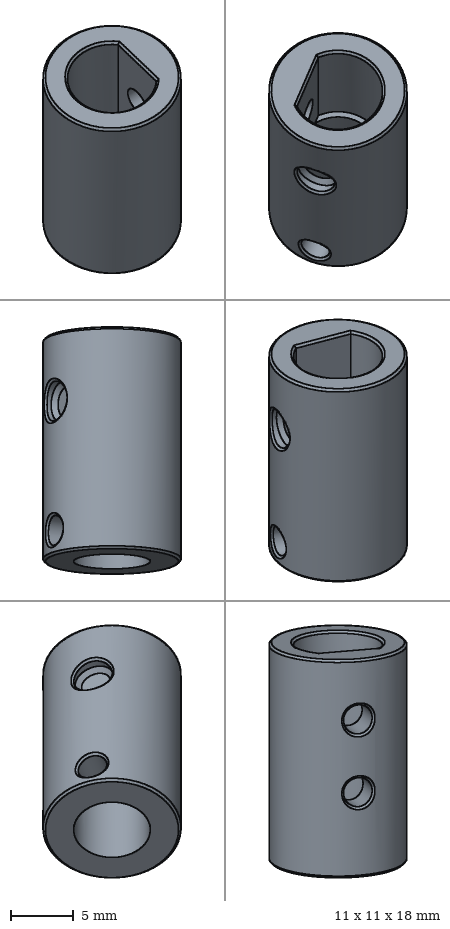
import cadquery as cq

length = 18
outer_diameter = 11.0
edge_chamfer = 0.2
outer_radius = outer_diameter / 2

bore_diameter = 6.1
d_bore_diameter = 7.1
d_flat_offset = 2.57
d_bore_depth = length / 2

screw_diameter = 2.4
side_screw_height = 2.0
flat_screw_heights = (7.0, 13.0)

socket_height = 12.5
socket_diameter = 3.2
socket_floor_diameter = screw_diameter
socket_depth = 1.22
socket_cone_depth = (socket_diameter - socket_floor_diameter) / 2

rim_margin = 0.36
flare_share = 0.999


def d_profile(height, radius, flat_offset):
    """Cylinder on the XY plane with its +Y side cut to a flat."""
    size = 2 * radius
    keep = cq.Workplane("XY").box(size, radius + flat_offset, height, centered=(True, False, False))
    return cq.Workplane("XY").circle(radius).extrude(height).intersect(keep.translate((0, -radius, 0)))


def d_bore():
    """D-shaped cutter with a flared mouth at the top face."""
    straight = d_profile(d_bore_depth, d_bore_diameter / 2, d_flat_offset)
    flare = (
        d_profile(edge_chamfer, d_bore_diameter / 2 + edge_chamfer, d_flat_offset + edge_chamfer)
        .faces("<Z")
        .chamfer(edge_chamfer * flare_share)
    )
    flare = flare.translate((0, 0, d_bore_depth - edge_chamfer))
    return straight.union(flare).translate((0, 0, length - d_bore_depth))


def cut_radial_hole(part, profile, height, angle):
    """Cut a revolved (depth, radius) profile from the -X side turned by angle, and chamfer its rim."""
    points = [(depth - outer_radius, radius) for depth, radius in profile]
    start, end = points[0][0], points[-1][0]
    outline = cq.Workplane("XY").polyline([(start, 0), *points, (end, 0)]).close()
    cutter = outline.revolve(360, (0, 0, 0), (1, 0, 0)).translate((0, 0, height))
    turned = part.rotate((0, 0, 0), (0, 0, 1), -angle).cut(cutter)

    rim_radius = profile[0][1]
    rim_box = cq.selectors.BoxSelector(
        (-outer_radius - rim_margin, -rim_radius, height - rim_radius),
        (-outer_radius + rim_margin, rim_radius, height + rim_radius),
    )
    rim = turned.edges(rim_box).edges("not %LINE")
    return rim.chamfer(edge_chamfer).rotate((0, 0, 0), (0, 0, 1), angle)


screw_profile = [(0, screw_diameter / 2), (outer_radius, screw_diameter / 2)]
socket_profile = [
    (0, socket_diameter / 2),
    (socket_depth - socket_cone_depth, socket_diameter / 2),
    (socket_depth, socket_floor_diameter / 2),
]

body = cq.Workplane("XY").circle(outer_radius).extrude(length).edges().chamfer(edge_chamfer)
round_bore = cq.Workplane("XY").circle(bore_diameter / 2).extrude(length - d_bore_depth)
result = body.cut(round_bore).cut(d_bore())
result = cut_radial_hole(result, screw_profile, side_screw_height, 0)
for screw_height in flat_screw_heights:
    result = cut_radial_hole(result, screw_profile, screw_height, -90)
result = cut_radial_hole(result, socket_profile, socket_height, 0)